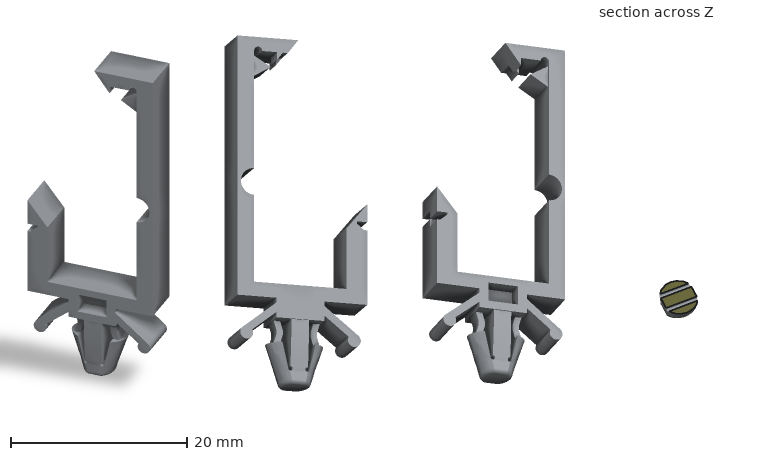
import cadquery as cq
import math

width = 5.0
half_width = width / 2

left_x = -7.9
right_x = 7.48
top_z = 30.47
floor_z = 1.7
left_inner_x = -5.45
right_inner_x = 5.5
post_tip_z = 11.8
post_shoulder_z = 8.8

hook_tip_x = 0.3
hook_ceiling_z = 28.85
tooth_z = 27.98
front_tooth_x = 2.17
tooth_offset = 0.6
hook_run_per_drop = (front_tooth_x - hook_tip_x) / (top_z - tooth_z)
tooth_run = (hook_ceiling_z - tooth_z) * hook_run_per_drop
relief_radius = 0.5
hinge_radius = 1.55
hinge_z = 13.45

stop_tip_x = 3.4
stop_tip_z = 27.18
stop_half_height = 1.25
stop_width = 4.25

notch_top_z = 8.75
notch_step = 0.95
notch_bottom_z = notch_top_z - notch_step
notch_back_x = -6.67
notch_back_height = 0.25
notch_lip_x = -7.55

block_half = 2.85
block_z = -2.3
window_width = 3.55
window_top_z = 0.85
window_bottom_z = -1.35
window_depth = 2.0

ball_x = 6.4
ball_z = -4.3
ball_radius = 0.75
arm_slope = math.radians(38.3)
arm_thickness = 0.9

stud_bottom_z = -9.73
core_half = 1.05
core_top_half_y = 2.35
core_mid_half_y = 2.25
barb_half_y = 1.9
barb_top_z = -4.9
barb_top_half_x = 3.38
barb_top_half_y = 2.35
nose_half_x = 1.73
nose_half_y = 2.1
nose_round = 0.45
slot_end_x = 1.0
slot_end_z = -8.0
slot_end_radius = 0.25
leg_outer_x = 2.75
leg_inner_x = 1.95
leg_half_y = 1.0
leg_bend = 0.32
leg_bend_top_z = -3.38
leg_bend_bottom_z = -3.85


def extrude_outline(points, y_min, y_max):
    """Extrude an X-Z outline from y_min to y_max."""
    sketch = cq.Workplane("XZ", origin=(0, y_max, 0)).polyline(points).close()
    return sketch.extrude(y_max - y_min)


def rod(x, z, radius):
    """Cylinder along Y over the full width."""
    return cq.Workplane("XZ", origin=(x, half_width, z)).circle(radius).extrude(width)


def both_sides(solid):
    return solid.union(solid.mirror("YZ"))


def frame():
    body = extrude_outline([
        (left_x, 0), (right_x, 0), (right_x, top_z), (hook_tip_x, top_z),
        (front_tooth_x - tooth_run, hook_ceiling_z), (right_inner_x, hook_ceiling_z),
        (right_inner_x, floor_z), (left_inner_x, floor_z),
        (left_inner_x, post_shoulder_z), (left_x, post_tip_z),
    ], -half_width, half_width)
    for tooth_x, y_min, y_max in (
        (front_tooth_x, -half_width, 0),
        (front_tooth_x + tooth_offset, 0, half_width),
    ):
        body = body.union(extrude_outline([
            (tooth_x, hook_ceiling_z), (tooth_x, tooth_z), (tooth_x - tooth_run, hook_ceiling_z),
        ], y_min, y_max))
    body = body.cut(rod(right_inner_x - relief_radius, hook_ceiling_z, relief_radius))
    body = body.cut(rod(right_inner_x, hinge_z, hinge_radius))
    stop = extrude_outline([
        (stop_tip_x, stop_tip_z),
        (right_inner_x, stop_tip_z + stop_half_height),
        (right_inner_x, stop_tip_z - stop_half_height),
    ], -stop_width / 2, stop_width / 2)
    return body.union(stop)


def latch_notches():
    notch = extrude_outline([
        (left_x, notch_top_z), (notch_back_x, notch_top_z),
        (notch_back_x, notch_top_z - notch_back_height),
        (notch_lip_x, notch_bottom_z), (left_x, notch_bottom_z),
    ], -half_width, 0)
    return notch.union(notch.translate((0, half_width, notch_step)))


def block():
    return extrude_outline([
        (-block_half, 0), (block_half, 0), (block_half, block_z), (-block_half, block_z),
    ], -half_width, half_width)


def window():
    half = window_width / 2
    return extrude_outline([
        (-half, window_top_z), (half, window_top_z),
        (half, window_bottom_z), (-half, window_bottom_z),
    ], -half_width, window_depth - half_width)


def spring_arms():
    normal_x = math.sin(arm_slope)
    normal_z = math.cos(arm_slope)
    upper_x = ball_x + ball_radius * normal_x
    upper_z = ball_z + ball_radius * normal_z
    lower_x = upper_x - arm_thickness * normal_x
    lower_z = upper_z - arm_thickness * normal_z
    rise = math.tan(arm_slope)
    arm = extrude_outline([
        (upper_x, upper_z), (block_half, upper_z + (upper_x - block_half) * rise),
        (block_half, lower_z + (lower_x - block_half) * rise), (lower_x, lower_z),
    ], -half_width, half_width)
    return both_sides(arm.union(rod(ball_x, ball_z, ball_radius)))


def stud_core():
    mid_z = (block_z + slot_end_z) / 2
    return (
        cq.Workplane("YZ", origin=(-core_half, 0, 0))
        .moveTo(-core_top_half_y, block_z)
        .lineTo(core_top_half_y, block_z)
        .threePointArc((core_mid_half_y, mid_z), (barb_half_y, slot_end_z - slot_end_radius))
        .lineTo(-barb_half_y, slot_end_z - slot_end_radius)
        .threePointArc((-core_mid_half_y, mid_z), (-core_top_half_y, block_z))
        .close()
        .extrude(2 * core_half)
    )


def barbs():
    taper = (
        cq.Workplane("XY", origin=(0, 0, stud_bottom_z))
        .ellipse(nose_half_x, nose_half_y)
        .workplane(offset=barb_top_z - stud_bottom_z)
        .ellipse(barb_top_half_x, barb_top_half_y)
        .loft()
    )
    slab = extrude_outline([
        (-barb_top_half_x, barb_top_z), (barb_top_half_x, barb_top_z),
        (barb_top_half_x, stud_bottom_z), (-barb_top_half_x, stud_bottom_z),
    ], -barb_half_y, barb_half_y)
    slot_outer_x = slot_end_x + slot_end_radius
    gap = extrude_outline([
        (-leg_inner_x, barb_top_z), (leg_inner_x, barb_top_z),
        (slot_outer_x, slot_end_z), (-slot_outer_x, slot_end_z),
    ], -half_width, half_width)
    return taper.intersect(slab).faces("<Z").edges().fillet(nose_round).cut(gap)


def legs():
    return both_sides(extrude_outline([
        (leg_inner_x, block_z), (leg_outer_x, block_z),
        (leg_outer_x - leg_bend, leg_bend_top_z), (leg_outer_x - leg_bend, leg_bend_bottom_z),
        (leg_outer_x, barb_top_z), (leg_inner_x, barb_top_z),
        (leg_inner_x - leg_bend, leg_bend_bottom_z), (leg_inner_x - leg_bend, leg_bend_top_z),
    ], -leg_half_y, leg_half_y))


def stud():
    slot_ends = both_sides(rod(slot_end_x, slot_end_z, slot_end_radius))
    return barbs().union(stud_core()).cut(slot_ends).union(legs())


result = (
    frame()
    .cut(latch_notches())
    .union(block())
    .cut(window())
    .union(spring_arms())
    .union(stud())
)